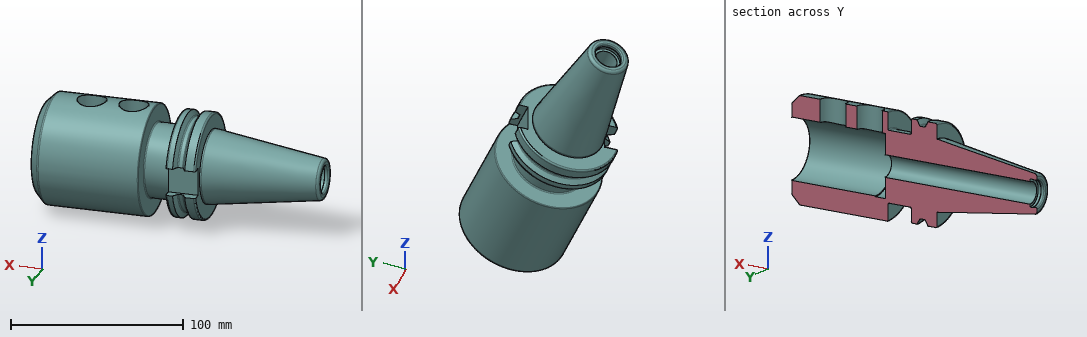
import cadquery as cq
import math

overall_length = 169.85
projection = 101.6
gauge_x = overall_length - projection
gauge_to_flange = 1.0
gauge_to_neck = 19.05
gauge_to_body = 34.9
flange_start_x = gauge_x + gauge_to_flange
flange_end_x = gauge_x + gauge_to_neck
body_start_x = gauge_x + gauge_to_body

gauge_diameter = 44.45
taper_ratio = 7 / 24
shank_end_diameter = gauge_diameter - taper_ratio * gauge_x
shank_end_fillet = 2.0

flange_diameter = 63.5
flange_rim_fillet = 1.0
groove_diameter = 56.36
gauge_to_groove = 11.1
groove_center_x = gauge_x + gauge_to_groove
groove_floor_width = 3.3
groove_fillet = 0.8
groove_flank_angle = 30
groove_depth = (flange_diameter - groove_diameter) / 2
groove_flank_run = groove_depth * math.tan(math.radians(groove_flank_angle))

slot_width = 16.8
slot_floor_front = 22.3
slot_floor_rear = 25.0

neck_diameter = gauge_diameter
neck_fillet = 0.6

body_diameter = 66.55
nose_chamfer = 5.5
nose_fillet = 1.5
body_back_fillet = 0.5

bore_diameter = 38.1
relief_diameter = 39.1
relief_end_x = 111.6
back_wall = 2.0
relief_start_x = body_start_x + back_wall

passage_diameter = 13.39
seat_diameter = 16.3
seat_depth = 4.8
seat_mouth_fillet = 0.8
undercut_diameter = 16.8
undercut_start_x = 2.7

screw_diameter = 17.32
screw_from_nose = 28.575
screw_spacing = 25.4
screw_count = 2

smallest_circle = cq.selectors.RadiusNthSelector(0)


def cylinder(diameter, start_x, end_x):
    """Solid cylinder on the X axis."""
    return cq.Workplane("YZ", origin=(start_x, 0, 0)).circle(diameter / 2).extrude(end_x - start_x)


def cone(start_diameter, end_diameter, start_x, end_x):
    """Solid truncated cone on the X axis."""
    profile = [
        (start_x, 0),
        (start_x, start_diameter / 2),
        (end_x, end_diameter / 2),
        (end_x, 0),
    ]
    return cq.Workplane("XY").polyline(profile).close().revolve(360, (0, 0, 0), (1, 0, 0))


def circles_between(start_x, end_x, largest_diameter):
    """Selector for edges centred between two X positions, both included, within the diameter."""
    margin = 0.1
    reach = largest_diameter / 2
    return cq.selectors.BoxSelector(
        (start_x - margin, -reach, -reach),
        (end_x + margin, reach, reach),
    )


def make_shank():
    """Taper with a rounded small end."""
    taper = cone(shank_end_diameter, gauge_diameter, 0, gauge_x)
    return taper.faces("<X").edges().fillet(shank_end_fillet)


def make_flange():
    """Flange disc with its V-groove, before the drive slots."""
    disc = cylinder(flange_diameter, flange_start_x, flange_end_x)
    disc = disc.faces("<X or >X").edges().fillet(flange_rim_fillet)
    groove_floor_start = groove_center_x - groove_floor_width / 2
    groove_floor_end = groove_center_x + groove_floor_width / 2
    groove_profile = [
        (groove_floor_start, groove_diameter / 2),
        (groove_floor_end, groove_diameter / 2),
        (groove_floor_end + groove_flank_run, flange_diameter / 2),
        (groove_floor_start - groove_flank_run, flange_diameter / 2),
    ]
    groove = cq.Workplane("XY").polyline(groove_profile).close().revolve(360, (0, 0, 0), (1, 0, 0))
    floor_edges = circles_between(groove_floor_start, groove_floor_end, groove_diameter)
    groove = groove.edges(floor_edges).fillet(groove_fillet)
    return disc.cut(groove)


def drive_slot(floor_distance, side):
    """Block that clears the flange outside floor_distance on the given Y side."""
    depth = flange_diameter / 2
    center = ((flange_start_x + flange_end_x) / 2, side * (floor_distance + depth / 2), 0)
    return cq.Workplane("XY").box(flange_end_x - flange_start_x, depth, slot_width).translate(center)


def make_body():
    """Body cylinder with a rounded back edge and a chamfered, blended nose."""
    body = cylinder(body_diameter, body_start_x, overall_length)
    body = body.faces("<X").edges().fillet(body_back_fillet)
    body = body.faces(">X").edges().chamfer(nose_chamfer)
    nose_start_x = overall_length - nose_chamfer
    return body.edges(circles_between(nose_start_x, overall_length, body_diameter)).fillet(nose_fillet)


def cut_bores(part):
    """Cut the through passage, the knob seat and the tool bore."""
    part = part.cut(cylinder(passage_diameter, 0, overall_length))
    part = part.cut(cylinder(seat_diameter, 0, seat_depth))
    part = part.edges(circles_between(0, 0, seat_diameter)).edges(smallest_circle).fillet(seat_mouth_fillet)
    part = part.cut(cylinder(undercut_diameter, undercut_start_x, seat_depth))
    part = part.cut(cylinder(relief_diameter, relief_start_x, relief_end_x))
    return part.cut(cylinder(bore_diameter, relief_end_x, overall_length))


def cut_screw_holes(part):
    """Drill the set screw holes from the top down to the bore."""
    for index in range(screw_count):
        hole_x = overall_length - screw_from_nose - index * screw_spacing
        hole = cq.Workplane("XY", origin=(hole_x, 0, 0)).circle(screw_diameter / 2).extrude(body_diameter)
        part = part.cut(hole)
    return part


def make_holder():
    """Taper, flange, neck and body in one piece, with the neck blended at both ends."""
    neck = cylinder(neck_diameter, gauge_x, body_start_x)
    holder = neck.union(make_flange()).union(make_body())
    holder = holder.edges(circles_between(flange_end_x, body_start_x, neck_diameter)).edges(smallest_circle)
    holder = holder.fillet(neck_fillet).union(make_shank())
    return holder.cut(drive_slot(slot_floor_front, -1)).cut(drive_slot(slot_floor_rear, 1))


result = cut_screw_holes(cut_bores(make_holder()))